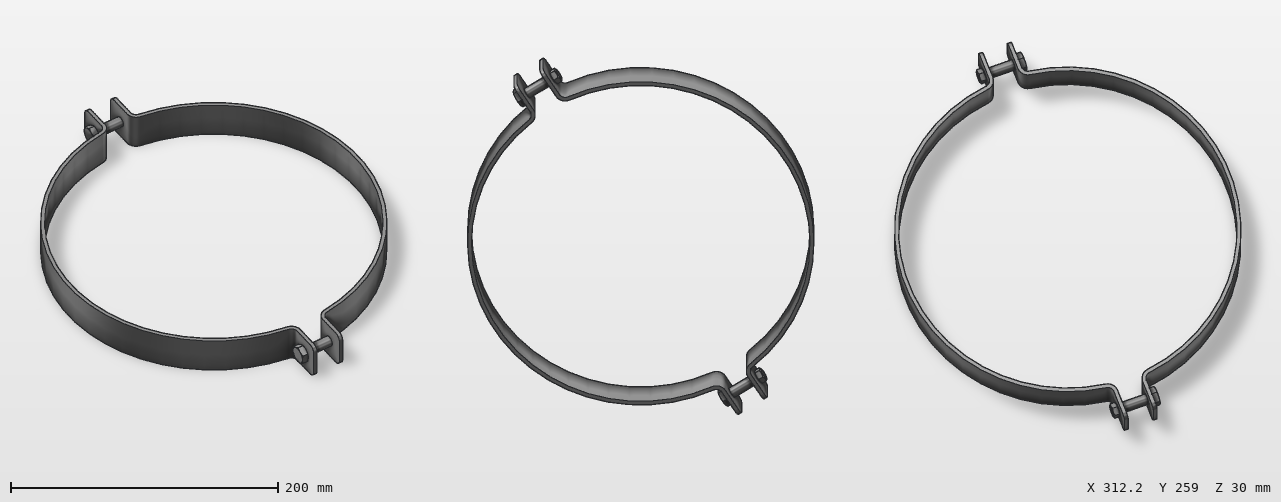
import cadquery as cq
import math

BAND_OUTER_RADIUS = 129.5
BAND_THICKNESS = 3.0
BAND_HEIGHT = 30.0
OVERALL_LENGTH = 312.2
GAP = 20.0
BEND_INNER_RADIUS = 5.0
FLANGE_CORNER_RADIUS = 5.0

BOLT_X = 142.5
SHANK_DIAMETER = 8.0
HEAD_ACROSS_FLATS = 12.8
HEAD_FACE_DIAMETER = HEAD_ACROSS_FLATS
HEAD_HEIGHT = 5.3
NUT_ACROSS_FLATS = 10.0
NUT_FACE_DIAMETER = 8.5
NUT_HEIGHT = 5.3
CHAMFER_ANGLE = 30.0

BAND_INNER_RADIUS = BAND_OUTER_RADIUS - BAND_THICKNESS
BEND_OUTER_RADIUS = BEND_INNER_RADIUS + BAND_THICKNESS
FLANGE_END_X = OVERALL_LENGTH / 2
FLANGE_INNER_Y = GAP / 2
FLANGE_OUTER_Y = FLANGE_INNER_Y + BAND_THICKNESS
BEND_Y = FLANGE_OUTER_Y + BEND_INNER_RADIUS
BEND_ANGLE = math.asin(BEND_Y / (BAND_OUTER_RADIUS + BEND_INNER_RADIUS))
BEND_X = (BAND_OUTER_RADIUS + BEND_INNER_RADIUS) * math.cos(BEND_ANGLE)


def polar(radius, angle):
    return radius * math.cos(angle), radius * math.sin(angle)


def bend_point(radius, angle):
    """Point on the right-hand bend, which is centred beside the band."""
    x, y = polar(radius, angle)
    return BEND_X + x, BEND_Y + y


def mirrored(point):
    return -point[0], point[1]


def make_half_band():
    """The +Y half: a half ring that bends outward into a drilled flange at each end."""
    bend_end = math.pi + BEND_ANGLE
    bend_middle = (bend_end + 1.5 * math.pi) / 2
    outer_start = bend_point(BEND_INNER_RADIUS, bend_end)
    outer_middle = bend_point(BEND_INNER_RADIUS, bend_middle)
    inner_start = bend_point(BEND_OUTER_RADIUS, bend_end)
    inner_middle = bend_point(BEND_OUTER_RADIUS, bend_middle)

    band = (
        cq.Workplane("XY")
        .workplane(offset=-BAND_HEIGHT / 2)
        .moveTo(FLANGE_END_X, FLANGE_INNER_Y)
        .lineTo(FLANGE_END_X, FLANGE_OUTER_Y)
        .lineTo(BEND_X, FLANGE_OUTER_Y)
        .threePointArc(outer_middle, outer_start)
        .threePointArc((0, BAND_OUTER_RADIUS), mirrored(outer_start))
        .threePointArc(mirrored(outer_middle), (-BEND_X, FLANGE_OUTER_Y))
        .lineTo(-FLANGE_END_X, FLANGE_OUTER_Y)
        .lineTo(-FLANGE_END_X, FLANGE_INNER_Y)
        .lineTo(-BEND_X, FLANGE_INNER_Y)
        .threePointArc(mirrored(inner_middle), mirrored(inner_start))
        .threePointArc((0, BAND_INNER_RADIUS), inner_start)
        .threePointArc(inner_middle, (BEND_X, FLANGE_INNER_Y))
        .close()
        .extrude(BAND_HEIGHT)
    )
    band = band.faces("<X or >X").edges("|Y").fillet(FLANGE_CORNER_RADIUS)

    for x in (-BOLT_X, BOLT_X):
        band = band.cut(cylinder_along_y(x, FLANGE_INNER_Y, SHANK_DIAMETER, BAND_THICKNESS))
    return band


def plane_along_y(x, y):
    """Plane at (x, y, 0) whose normal is +Y and whose local x axis is Z."""
    return cq.Plane(origin=(x, y, 0), xDir=(0, 0, 1), normal=(0, 1, 0))


def cylinder_along_y(x, y_start, diameter, length):
    return cq.Workplane(plane_along_y(x, y_start)).circle(diameter / 2).extrude(length)


def hexagon_along_y(x, y_start, across_flats, height):
    """Hexagonal prism along +Y with one corner pointing up."""
    across_corners = across_flats / math.cos(math.pi / 6)
    return cq.Workplane(plane_along_y(x, y_start)).polygon(6, across_corners).extrude(height)


def chamfered_hexagon(x, y_start, across_flats, face_diameter, height):
    """Hexagonal prism whose corners are cut by a cone at each end, leaving round end faces."""
    across_corners = across_flats / math.cos(math.pi / 6)
    chamfer_width = (across_corners - face_diameter) / 2
    chamfer_height = chamfer_width * math.tan(math.radians(CHAMFER_ANGLE))
    envelope = (
        cylinder_along_y(x, y_start, across_corners, height)
        .faces("<Y or >Y")
        .chamfer(chamfer_height, chamfer_width)
    )
    return hexagon_along_y(x, y_start, across_flats, height).intersect(envelope)


def make_bolt(x):
    """Bolt with its head on the -Y flange and its shank ending flush with the nut."""
    head_y = -FLANGE_OUTER_Y - HEAD_HEIGHT
    head = chamfered_hexagon(x, head_y, HEAD_ACROSS_FLATS, HEAD_FACE_DIAMETER, HEAD_HEIGHT)
    shank_length = 2 * FLANGE_OUTER_Y + NUT_HEIGHT
    return head.union(cylinder_along_y(x, -FLANGE_OUTER_Y, SHANK_DIAMETER, shank_length))


def make_nut(x):
    """Nut seated on the +Y flange."""
    nut = chamfered_hexagon(x, FLANGE_OUTER_Y, NUT_ACROSS_FLATS, NUT_FACE_DIAMETER, NUT_HEIGHT)
    return nut.cut(cylinder_along_y(x, FLANGE_OUTER_Y, SHANK_DIAMETER, NUT_HEIGHT))


rear_band = make_half_band()
front_band = rear_band.mirror("XZ")
bolts = [make_bolt(x).val() for x in (-BOLT_X, BOLT_X)]
nuts = [make_nut(x).val() for x in (-BOLT_X, BOLT_X)]

result = cq.Compound.makeCompound([rear_band.val(), front_band.val(), *bolts, *nuts])